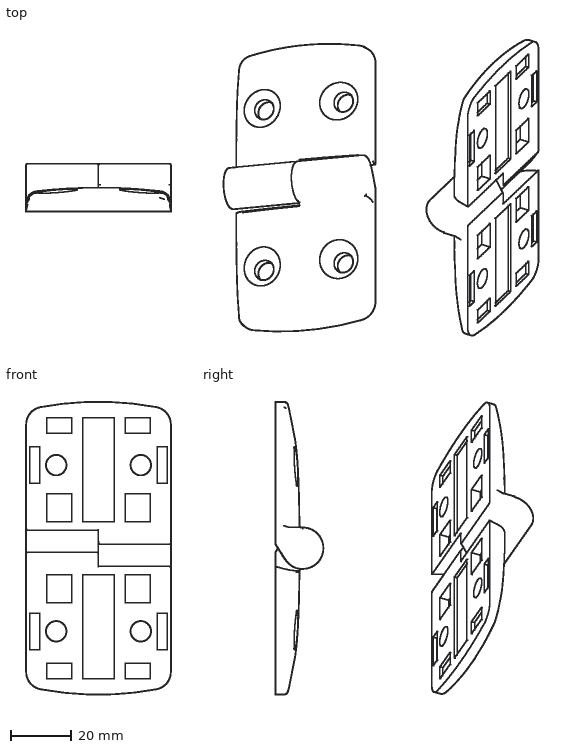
import cadquery as cq
import math


width = 48.0
half_width = width / 2
half_height = 48.5
end_radius = 105.0
corner_radius = 6.0

dome_height = 8.0
crown_radius = 180.0
side_round = 4.2
end_round = 1.4
dome_start_z = 8.0
dome_join_z = 27.6
inner_dome_radius = 320.0
outer_dome_radius = 100.0
overrun = 6.0

barrel_radius = 6.9
barrel_y = 9.0
knuckle_corner_z = 1.3
flank_y = 4.0
flank_z = 4.75
flank_slope = 1.5
knuckle_edge_round = 0.5
knuckle_root_round = 0.6
plate_root_z = 4.0
web_overhang = 1.5

clearance_face_z = 6.0
clearance_crest_z = 7.6
clearance_edge_round = 0.4

hole_x = 14.0
hole_z = 27.5
hole_diameter = 6.7
countersink_start_y = 3.6

pocket_bottom_z = 8.8
pocket_top_z = 43.2
center_pocket_width = 10.3
center_pocket_depth = 1.0
side_pocket_x = 13.0
side_pocket_width = 8.3
deep_pocket_height = 9.2
deep_pocket_depth = 3.2
shallow_pocket_height = 5.1
shallow_pocket_depth = 1.1
edge_slot_x = 21.05
edge_slot_width = 3.3
edge_slot_height = 12.1
edge_slot_depth = 1.3


def front_sketch():
    """Workplane on the mounting face with local axes X and Z; extruding by a negative length goes into +Y."""
    return cq.Workplane("XZ")


def leaf_outline():
    """Plate outline with a bowed outer end and two rounded corners, running into +Y."""
    corner_x = half_width - corner_radius
    end_center_z = half_height - end_radius
    center_gap = end_radius - corner_radius
    corner_z = end_center_z + math.sqrt(center_gap**2 - corner_x**2)
    lean = math.asin(corner_x / center_gap)
    tangent_x = end_radius * math.sin(lean)
    tangent_z = end_center_z + end_radius * math.cos(lean)
    middle_angle = lean / 2 + math.pi / 4
    middle_x = corner_x + corner_radius * math.sin(middle_angle)
    middle_z = corner_z + corner_radius * math.cos(middle_angle)
    return (
        front_sketch()
        .moveTo(-half_width, plate_root_z)
        .lineTo(half_width, plate_root_z)
        .lineTo(half_width, corner_z)
        .threePointArc((middle_x, middle_z), (tangent_x, tangent_z))
        .threePointArc((0, half_height), (-tangent_x, tangent_z))
        .threePointArc((-middle_x, middle_z), (-half_width, corner_z))
        .close()
        .extrude(-(dome_height + overrun))
    )


def dome():
    """Crowned section with rounded sides, swept along a line and two arcs that drop toward the end."""
    inner_slope = math.asin((dome_join_z - dome_start_z) / inner_dome_radius)
    inner_center_y = dome_height - inner_dome_radius
    join_y = inner_center_y + inner_dome_radius * math.cos(inner_slope)
    inner_middle = (
        inner_center_y + inner_dome_radius * math.cos(inner_slope / 2),
        dome_start_z + inner_dome_radius * math.sin(inner_slope / 2),
    )
    outer_center_y = join_y - outer_dome_radius * math.cos(inner_slope)
    outer_center_z = dome_join_z - outer_dome_radius * math.sin(inner_slope)
    outer_slope = math.asin((half_height + overrun - outer_center_z) / outer_dome_radius)

    def outer_point(slope):
        return (
            outer_center_y + outer_dome_radius * math.cos(slope),
            outer_center_z + outer_dome_radius * math.sin(slope),
        )

    path = (
        cq.Workplane("YZ")
        .moveTo(dome_height, 0)
        .lineTo(dome_height, dome_start_z)
        .threePointArc(inner_middle, (join_y, dome_join_z))
        .threePointArc(outer_point((inner_slope + outer_slope) / 2), outer_point(outer_slope))
    )
    shoulder_y = dome_height - crown_radius + math.sqrt(crown_radius**2 - half_width**2)
    section = (
        cq.Workplane("XY")
        .moveTo(-half_width, -overrun)
        .lineTo(half_width, -overrun)
        .lineTo(half_width, shoulder_y)
        .threePointArc((0, dome_height), (-half_width, shoulder_y))
        .close()
    )
    swept = section.sweep(path)
    lowest_edge_y = 1.0
    near_corner = (-half_width - 1, lowest_edge_y, -1)
    far_corner = (half_width + 1, dome_height, half_height + overrun)
    side_edges = swept.faces("<X or >X").edges(cq.selectors.BoxSelector(near_corner, far_corner))
    return side_edges.fillet(side_round)


def knuckle():
    """Barrel with a smooth flank to the mounting face, rounded at both ends, and a square web to the dome."""
    flank = [(barrel_y, -barrel_radius), (flank_y, -flank_z), (0, knuckle_corner_z)]
    body = (
        cq.Workplane("YZ")
        .moveTo(0, knuckle_corner_z)
        .lineTo(0, barrel_radius)
        .lineTo(barrel_y, barrel_radius)
        .threePointArc((barrel_y + barrel_radius, 0), flank[0])
        .spline(flank[1:], tangents=[(-1, 0), (-1, flank_slope)], includeCurrent=True)
        .close()
        .extrude(half_width)
    )
    end_edges = body.faces("|X").edges("not(|Y or |Z)")
    rounded = end_edges.fillet(knuckle_edge_round)
    square_web = (
        cq.Workplane("YZ")
        .moveTo(0, plate_root_z)
        .lineTo(barrel_y, plate_root_z)
        .lineTo(barrel_y, barrel_radius)
        .lineTo(0, barrel_radius)
        .close()
        .extrude(half_width + web_overhang)
    )
    return rounded.union(square_web)


def clearance():
    """Space on the -X half that the other leaf's knuckle turns in, bounded by a shallow arc."""
    return (
        cq.Workplane("YZ")
        .moveTo(0, 0)
        .lineTo(0, clearance_face_z)
        .threePointArc((barrel_y, clearance_crest_z), (2 * barrel_y, clearance_face_z))
        .lineTo(2 * barrel_y, 0)
        .close()
        .extrude(-half_width)
    )


def pocket(center_x, bottom_z, pocket_width, height, depth):
    """Rectangular recess in the mounting face."""
    return (
        front_sketch()
        .center(center_x, bottom_z + height / 2)
        .rect(pocket_width, height)
        .extrude(-depth)
    )


def screw_hole(center_x):
    """Through hole that opens into a 90 degree countersink toward the domed back."""
    hole_radius = hole_diameter / 2
    back_y = dome_height + overrun
    return (
        cq.Workplane("XY")
        .lineTo(hole_radius, 0)
        .lineTo(hole_radius, countersink_start_y)
        .lineTo(hole_radius + back_y - countersink_start_y, back_y)
        .lineTo(0, back_y)
        .close()
        .revolve(360, (0, 0, 0), (0, 1, 0))
        .translate((center_x, 0, hole_z))
    )


def mounting_pockets():
    """All recesses of one leaf: a long one in the middle and a deep, a shallow and a slot on each side."""
    center_height = pocket_top_z - pocket_bottom_z
    shallow_bottom_z = pocket_top_z - shallow_pocket_height
    slot_bottom_z = hole_z - edge_slot_height / 2
    pockets = pocket(0, pocket_bottom_z, center_pocket_width, center_height, center_pocket_depth)
    for side in (-1, 1):
        x = side * side_pocket_x
        deep = pocket(x, pocket_bottom_z, side_pocket_width, deep_pocket_height, deep_pocket_depth)
        shallow = pocket(x, shallow_bottom_z, side_pocket_width, shallow_pocket_height, shallow_pocket_depth)
        slot = pocket(side * edge_slot_x, slot_bottom_z, edge_slot_width, edge_slot_height, edge_slot_depth)
        pockets = pockets.add(deep).add(shallow).add(slot)
    return pockets.combine()


def round_outer_end(body):
    """Round the bowed edge where the dome meets the outer end wall."""
    near_corner = (-1, 1, half_height - corner_radius)
    far_corner = (1, dome_height, half_height + 1)
    edge_zone = cq.selectors.BoxSelector(near_corner, far_corner)
    return body.edges(edge_zone).fillet(end_round)


def round_clearance_edge(body):
    """Soften the edge where the clearance face meets the dome and the outer side of the plate."""
    near_corner = (-half_width - 1, 1, clearance_face_z)
    far_corner = (-1, dome_height + 1, clearance_crest_z)
    edge_zone = cq.selectors.BoxSelector(near_corner, far_corner)
    return body.edges("not(|X or |Y or |Z)").edges(edge_zone).fillet(clearance_edge_round)


def round_knuckle_root(body):
    """Fill the inner corner between dome and knuckle, then trim the web flush with the plate side."""
    margin = 0.05
    near_corner = (margin, 0, barrel_radius - margin)
    far_corner = (half_width + margin, dome_height, barrel_radius + margin)
    root_edges = body.edges("%CIRCLE or |Y").edges(cq.selectors.BoxSelector(near_corner, far_corner))
    envelope = cq.Workplane("XY").box(width, 4 * barrel_y, 4 * half_height)
    return root_edges.fillet(knuckle_root_round).intersect(envelope)


def leaf():
    """Complete upper leaf."""
    body = leaf_outline().intersect(dome())
    body = body.cut(clearance())
    body = round_clearance_edge(body)
    body = round_outer_end(body)
    body = round_knuckle_root(body.union(knuckle()))
    body = body.cut(mounting_pockets())
    for side in (-1, 1):
        body = body.cut(screw_hole(side * hole_x))
    return body


upper_leaf = leaf()
lower_leaf = upper_leaf.rotate((0, 0, 0), (0, 1, 0), 180)

result = cq.Compound.makeCompound([*upper_leaf.solids().vals(), *lower_leaf.solids().vals()])